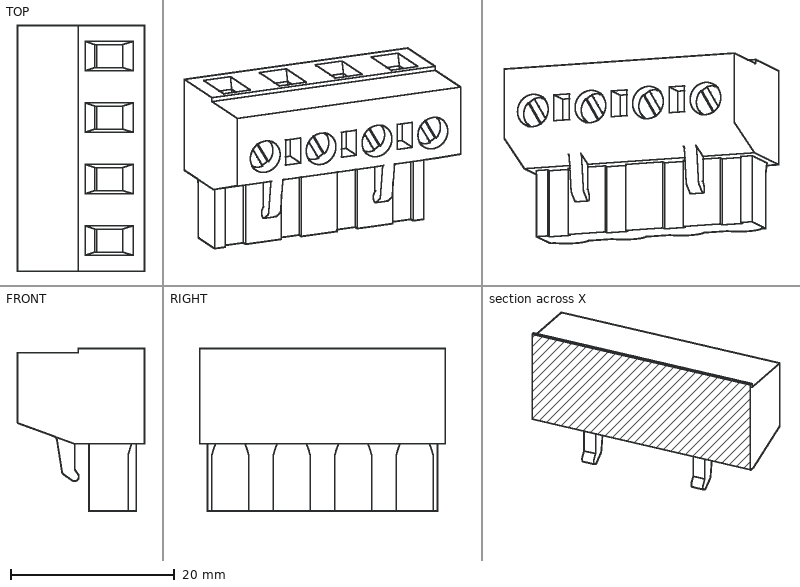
import cadquery as cq
import math


pole_count = 4
pole_pitch = 7.5

housing_depth = 15.5
housing_length = pole_count * pole_pitch
housing_height = 11.65
step_x = 7.4
step_drop = 0.5
slope_end_x = 7.0
slope_angle = 20.0
slope_corner_radius = 0.2

screw_z = 5.75
screw_hole_diameter = 4.0
screw_hole_depth = 1.9
screw_diameter = 3.8
screw_gap_depth = 0.5
screw_slot_width = 0.9
screw_slot_depth = 0.5
screw_slot_angle = 60.0

pocket_width = 2.0
pocket_bottom_z = 4.3
pocket_top_z = 7.5
pocket_depth = 3.0

entry_mouth_x = (8.25, 14.1)
entry_mouth_width = 3.6
entry_funnel_base_x = (9.4, 12.85)
entry_throat_width = 2.82
entry_funnel_depth = 1.2
entry_throat_depth = 0.95
entry_ledge_width = 0.3

tongue_front_x = 8.7
tongue_back_x = 13.5
tongue_length = 28.1
tongue_height = 8.2
tongue_flare = 0.4
tongue_flare_height = 1.3
rib_height = 1.0
rib_radius = 3.0
groove_width = 2.7
groove_depth = 0.65

latch_count = 2
latch_width = 1.6
latch_spacing = 2 * pole_pitch
latch_root_x = 4.75
latch_root_radius = 0.5
latch_elbow = (5.45, -3.6)
latch_elbow_radius = 0.5
latch_back_end_z = -3.1
latch_tip_radius = 0.55
latch_tip_center = (6.95, -4.0)

slope = math.tan(math.radians(slope_angle))


def row_positions(count, pitch):
    """Y positions of evenly spaced features centred on the part."""
    return [(i - (count - 1) / 2) * pitch for i in range(count)]


def box(x_range, y_range, z_range):
    """Box between the given limits."""
    sizes = [end - start for start, end in (x_range, y_range, z_range)]
    return cq.Workplane("XY").box(*sizes, centered=False).translate((x_range[0], y_range[0], z_range[0]))


def centred(middle, width):
    """Limits of a span of the given width around its middle."""
    return (middle - width / 2, middle + width / 2)


def extrude_along_y(outline, y_middle, width):
    """Solid from an XZ outline, centred on the given Y."""
    return outline.extrude(width / 2, both=True).translate((0, y_middle, 0))


def make_housing():
    outline = (
        cq.Workplane("XZ")
        .moveTo(0, slope_end_x * slope)
        .lineTo(slope_end_x, 0)
        .lineTo(housing_depth, 0)
        .lineTo(housing_depth, housing_height)
        .lineTo(step_x, housing_height)
        .lineTo(step_x, housing_height - step_drop)
        .lineTo(0, housing_height - step_drop)
        .close()
    )
    housing = extrude_along_y(outline, 0, housing_length)
    corner = cq.selectors.NearestToPointSelector((0, 0, slope_end_x * slope))
    return housing.edges(corner).fillet(slope_corner_radius)


def screw_axis_cylinder(diameter, x_start, depth, y):
    """Cylinder along +X on the screw axis at the given Y."""
    disc = cq.Workplane("YZ").circle(diameter / 2).extrude(depth)
    return disc.translate((x_start, y, screw_z))


def make_screw_cut(y):
    """Screw hole, the thin gap around the screw head and its driver slot."""
    hole = screw_axis_cylinder(screw_hole_diameter, 0, screw_hole_depth + screw_gap_depth, y)
    head = screw_axis_cylinder(screw_diameter, screw_hole_depth, screw_gap_depth, y)
    slot = (
        cq.Workplane("YZ")
        .rect(screw_diameter, screw_slot_width)
        .extrude(screw_slot_depth)
        .rotate((0, 0, 0), (1, 0, 0), screw_slot_angle)
        .translate((screw_hole_depth, y, screw_z))
    )
    return hole.cut(head.cut(slot))


def make_pocket(y):
    return box((0, pocket_depth), centred(y, pocket_width), (pocket_bottom_z, pocket_top_z))


def make_wire_entry(y):
    """Funnel whose flat base keeps a narrow ledge on the screw side of a straight throat."""
    base_z = housing_height - entry_funnel_depth
    mouth_middle = sum(entry_mouth_x) / 2
    base_middle = sum(entry_funnel_base_x) / 2
    funnel = (
        cq.Workplane("XY", origin=(mouth_middle, y, housing_height))
        .rect(entry_mouth_x[1] - entry_mouth_x[0], entry_mouth_width)
        .workplane(offset=-entry_funnel_depth)
        .center(base_middle - mouth_middle, 0)
        .rect(entry_funnel_base_x[1] - entry_funnel_base_x[0], entry_throat_width)
        .loft(ruled=True)
    )
    throat_x = (entry_funnel_base_x[0] + entry_ledge_width, entry_funnel_base_x[1])
    throat_y = centred(y, entry_throat_width)
    return funnel.union(box(throat_x, throat_y, (base_z - entry_throat_depth, base_z)))


def make_tongue():
    """Tongue that flares backwards at its root, with a groove in front and a round rib behind each pole."""
    outline = (
        cq.Workplane("XZ")
        .moveTo(tongue_front_x, 0)
        .lineTo(tongue_front_x, -tongue_height)
        .lineTo(tongue_back_x, -tongue_height)
        .lineTo(tongue_back_x, -tongue_flare_height)
        .lineTo(tongue_back_x + tongue_flare, 0)
        .close()
    )
    tongue = extrude_along_y(outline, 0, tongue_length)
    groove_x = (tongue_front_x, tongue_front_x + groove_depth)
    for y in row_positions(pole_count, pole_pitch):
        groove = box(groove_x, centred(y, groove_width), (-tongue_height, 0))
        tongue = tongue.cut(groove).union(make_rib(y))
    return tongue


def make_rib(y):
    """Upright rib whose outline is an arc over a chord on the back face of the tongue."""
    half_chord = math.sqrt(rib_radius**2 - (rib_radius - rib_height) ** 2)
    return (
        cq.Workplane("XY", origin=(tongue_back_x, y, -tongue_height))
        .moveTo(0, -half_chord)
        .threePointArc((rib_height, 0), (0, half_chord))
        .close()
        .extrude(tongue_height)
    )


def latch_root_z():
    """Height at which the front of a latch leaves the slope."""
    return (slope_end_x - latch_root_x) * slope


def make_latch(y):
    """Hook hanging from the slope: a tapering arm with a round tip that catches backwards."""
    tip_x, tip_z = latch_tip_center
    diagonal = latch_tip_radius * math.sqrt(0.5)
    arm = (
        cq.Workplane("XZ")
        .moveTo(latch_root_x, latch_root_z())
        .lineTo(*latch_elbow)
        .lineTo(tip_x - diagonal, tip_z - diagonal)
        .threePointArc((tip_x + diagonal, tip_z - diagonal), (tip_x + diagonal, tip_z + diagonal))
        .lineTo(slope_end_x, latch_back_end_z)
        .lineTo(slope_end_x, latch_root_z())
        .close()
    )
    latch = extrude_along_y(arm, y, latch_width)
    elbow = cq.selectors.NearestToPointSelector((latch_elbow[0], y, latch_elbow[1]))
    return latch.edges(elbow).fillet(latch_elbow_radius)


result = make_housing().union(make_tongue())
for latch_y in row_positions(latch_count, latch_spacing):
    result = result.union(make_latch(latch_y))
    latch_root = cq.selectors.NearestToPointSelector((latch_root_x, latch_y, latch_root_z()))
    result = result.edges(latch_root).fillet(latch_root_radius)
for pole_y in row_positions(pole_count, pole_pitch):
    result = result.cut(make_screw_cut(pole_y)).cut(make_wire_entry(pole_y))
for pocket_y in row_positions(pole_count - 1, pole_pitch):
    result = result.cut(make_pocket(pocket_y))